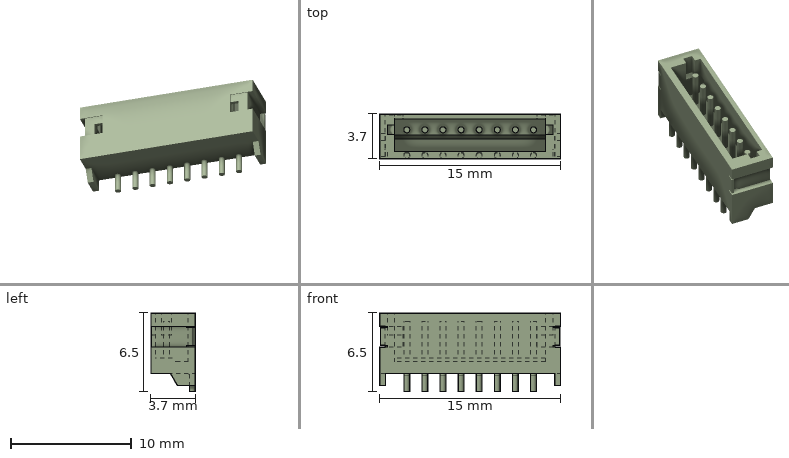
import cadquery as cq
import math

length = 15.0
width = 3.7
height = 5.0
end_x = length / 2
front_y = -width / 2
back_y = width / 2

end_wall = 1.25
back_wall = 0.4
front_wall = 0.6
cavity_length = length - 2 * end_wall
cavity_front_y = front_y + front_wall
cavity_back_y = back_y - back_wall
back_floor_z = 1.3
floor_step = 0.3
ramp_top_y = 0.1

pin_count = 8
pin_pitch = 1.5
pin_diameter = 0.5
pin_y = 0.55
tail_y = front_y + pin_diameter / 2
pin_top_z = height - 0.7
tail_bottom_z = -1.5
bend_radius = 0.45
bend_start_z = -0.15
pin_run_z = bend_start_z + bend_radius

key_slot_end_x = 6.85
key_slot_width = 0.8
key_slot_depth = 1.8

recess_top_z = height - 1.1
recess_bottom_z = height - 2.8
recess_depth = 0.45
back_recess_depth = 0.06
window_width = 0.7
window_start_x = cavity_length / 2 - window_width
window_top_z = height - key_slot_depth

lip_thickness = 0.2
lip_setback = 0.06
slit_length = 0.75
upper_slit_height = 0.1
lower_slit_height = 0.13
slit_end_x = key_slot_end_x

leg_thickness = 0.5
leg_height = 1.0
leg_foot_width = 1.5
leg_slope_angle = 60.0


def box_between(x_range, y_range, z_range):
    """Axis-aligned box spanning the given (low, high) ranges."""
    size = [high - low for low, high in (x_range, y_range, z_range)]
    corner = (x_range[0], y_range[0], z_range[0])
    return cq.Workplane("XY").box(*size, centered=False).translate(corner)


def on_both_ends(shape):
    """The shape at the +X end joined with its mirror image at the -X end."""
    return shape.union(shape.mirror("YZ"))


def make_cavity():
    front_floor_z = back_floor_z - floor_step
    ramp_bottom_y = ramp_top_y - floor_step
    return (
        cq.Workplane("YZ")
        .moveTo(cavity_front_y, height)
        .lineTo(cavity_front_y, front_floor_z)
        .lineTo(ramp_bottom_y, front_floor_z)
        .lineTo(ramp_top_y, back_floor_z)
        .lineTo(cavity_back_y, back_floor_z)
        .lineTo(cavity_back_y, height)
        .close()
        .extrude(cavity_length / 2, both=True)
    )


def make_key_slot():
    return box_between(
        (0, key_slot_end_x),
        (pin_y - key_slot_width / 2, pin_y + key_slot_width / 2),
        (height - key_slot_depth, height),
    )


def make_latch_recess():
    """Material removed at the +X end: end groove, back groove, window and slits."""
    recess_z = (recess_bottom_z, recess_top_z)
    end_groove = box_between((end_x - recess_depth, end_x), (front_y + lip_thickness, back_y), recess_z)
    back_groove = box_between((window_start_x, end_x), (back_y - back_recess_depth, back_y), recess_z)
    window = box_between(
        (window_start_x, window_start_x + window_width),
        (cavity_back_y, back_y),
        (recess_bottom_z, window_top_z),
    )
    lip_trim = box_between((end_x - lip_setback, end_x), (front_y, back_y), recess_z)
    recess = end_groove.union(back_groove).union(window).union(lip_trim)

    slit_y = (front_y, front_y + slit_length)
    for slit_z in (
        (recess_top_z - upper_slit_height, recess_top_z),
        (recess_bottom_z, recess_bottom_z + lower_slit_height),
    ):
        recess = recess.union(box_between((slit_end_x, end_x), slit_y, slit_z))
    return recess


def make_leg():
    foot_y = front_y + leg_foot_width
    slope_run = leg_height / math.tan(math.radians(leg_slope_angle))
    return (
        cq.Workplane("YZ", origin=(end_x - leg_thickness, 0, 0))
        .polyline([(front_y, 0), (front_y, -leg_height), (foot_y, -leg_height), (foot_y + slope_run, 0)])
        .close()
        .extrude(leg_thickness)
    )


def make_pin():
    """Round wire: tail, bend towards the back, buried run, bend up, mating pin."""
    centre_line = (
        cq.Workplane("YZ")
        .moveTo(tail_y, tail_bottom_z)
        .lineTo(tail_y, bend_start_z)
        .tangentArcPoint((tail_y + bend_radius, pin_run_z), relative=False)
        .lineTo(pin_y - bend_radius, pin_run_z)
        .tangentArcPoint((pin_y, pin_run_z + bend_radius), relative=False)
        .lineTo(pin_y, pin_top_z)
    )
    return (
        cq.Workplane("XY", origin=(0, tail_y, tail_bottom_z))
        .circle(pin_diameter / 2)
        .sweep(centre_line)
    )


housing = box_between((-end_x, end_x), (front_y, back_y), (0, height))
housing = housing.union(on_both_ends(make_leg()))
housing = housing.cut(make_cavity())
housing = housing.cut(on_both_ends(make_key_slot()))
housing = housing.cut(on_both_ends(make_latch_recess()))

result = housing
pin = make_pin()
first_pin_x = -pin_pitch * (pin_count - 1) / 2
for index in range(pin_count):
    result = result.union(pin.translate((first_pin_x + index * pin_pitch, 0, 0)))